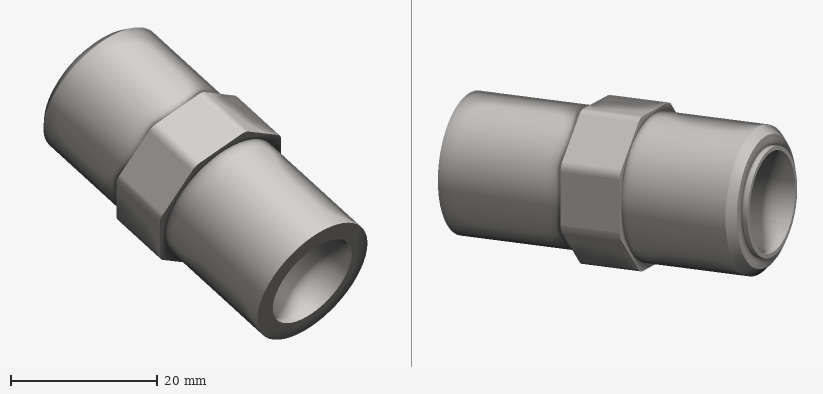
import cadquery as cq
import math

total_length = 46.0
lip_length = 0.87
collar_start = 17.85
collar_length = 9.0

bore_diameter = 14.35
lip_diameter = 15.55
body_diameter = 20.98
spigot_diameter = 20.0
collar_across_flats = 22.0

body_chamfer = 1.15
collar_corner_radius = 1.85
collar_sides = 8


def cylinder(diameter, start, end):
    """Round bar on the X axis between two stations."""
    return cq.Workplane("YZ", origin=(start, 0, 0)).circle(diameter / 2).extrude(end - start)


def octagonal_collar():
    """Wrench collar with flats facing Y and Z and rounded corners."""
    half_side_angle = math.pi / collar_sides
    across_corners = collar_across_flats / math.cos(half_side_angle)
    return (
        cq.Workplane("YZ", origin=(collar_start, 0, 0))
        .transformed(rotate=(0, 0, math.degrees(half_side_angle)))
        .polygon(collar_sides, across_corners)
        .extrude(collar_length)
        .edges("|X")
        .fillet(collar_corner_radius)
    )


collar_end = collar_start + collar_length

lip = cylinder(lip_diameter, 0, lip_length)
body = cylinder(body_diameter, lip_length, collar_start).faces("<X").chamfer(body_chamfer)
spigot = cylinder(spigot_diameter, collar_end, total_length)
bore = cylinder(bore_diameter, 0, total_length)

result = lip.union(body).union(octagonal_collar()).union(spigot).cut(bore)